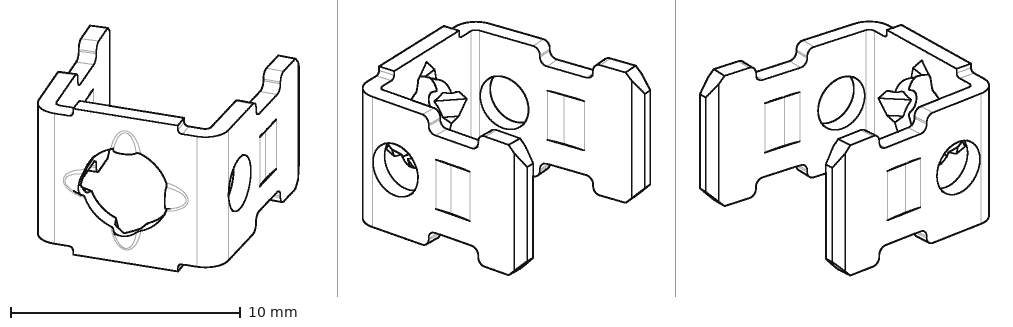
import math

import cadquery as cq

sheet = 0.81
inner_bend_radius = 0.275
outer_bend_radius = inner_bend_radius + sheet
leg_splay = 2.8
bend_angle = 90.0 - leg_splay

overall_height = 7.11
body_height = 6.35
overall_width = 9.55
tooth_height = 0.51
overall_depth = 10.03
leg_end_y = overall_depth - tooth_height

tab_width = 4.86
tab_fillet = 0.19
plate_hole_radius = 2.0

tip_taper_length = 0.57
tip_taper_inset = 0.19
tip_corner_chamfer = 0.88

notch_start = 4.17
notch_end = 6.92
notch_depth = 0.8
notch_radius = 0.36
side_hole_centre = 2.33
side_hole_radius = 1.25
pocket_start = 4.56
pocket_deepest = 5.36
pocket_end = 6.46
pocket_height = 2.4
pocket_depth = 0.06

tooth_count = 4
tooth_slope = 31.0
tooth_radius = 0.56
tooth_fillet = 0.16
tooth_start = 1.2
tooth_reach = 2.3
rod_half_length = 3.0

hollow_slope = 45.0
hollow_crest = 0.21
hollow_shoulder_half_width = 0.6
hollow_shoulder_y = 0.4
hollow_mouth_half_width = 0.7

bend_sin = math.sin(math.radians(bend_angle))
bend_cos = math.cos(math.radians(bend_angle))
splay_sin = math.sin(math.radians(leg_splay))
splay_cos = math.cos(math.radians(leg_splay))
leg_root_y = outer_bend_radius * (1 - bend_cos)
leg_length = (leg_end_y - leg_root_y - (sheet - tip_taper_inset) * splay_sin) / splay_cos
leg_root_x = overall_width / 2 - (leg_length - tip_taper_length) * splay_sin
flat_half_width = leg_root_x - outer_bend_radius * bend_sin


def bend_point(radius, angle):
    """Point on the left bend, at an angle turned from the plate's outer normal."""
    turned = math.radians(angle)
    return (
        -flat_half_width - radius * math.sin(turned),
        outer_bend_radius - radius * math.cos(turned),
    )


def make_base():
    """Plate with top and bottom tabs, and the bends at its left and right."""
    plate = cq.Workplane("XY").box(2 * flat_half_width, sheet, body_height, centered=(True, False, True))
    tabs = cq.Workplane("XY").box(tab_width, sheet, overall_height, centered=(True, False, True))
    base = plate.union(tabs)
    half_tab = tab_width / 2
    step = (overall_height - body_height) / 2
    for side in (-1, 1):
        for end in (-1, 1):
            corner = cq.selectors.BoxSelector(
                (side * half_tab - step / 2, -step, end * body_height / 2 - step / 2),
                (side * half_tab + step / 2, sheet + step, end * body_height / 2 + step / 2),
            )
            base = base.edges("|Y").edges(corner).fillet(tab_fillet)
    middle = bend_angle / 2
    bend = (
        cq.Workplane("XY")
        .moveTo(*bend_point(outer_bend_radius, 0))
        .threePointArc(bend_point(outer_bend_radius, middle), bend_point(outer_bend_radius, bend_angle))
        .lineTo(*bend_point(inner_bend_radius, bend_angle))
        .threePointArc(bend_point(inner_bend_radius, middle), bend_point(inner_bend_radius, 0))
        .close()
        .extrude(body_height / 2, both=True)
    )
    return base.union(bend).union(bend.mirror("YZ"))


def along_leg(distance):
    """Position along a leg, from its root, of a feature at a distance from Y = 0."""
    return (distance - leg_root_y) / splay_cos


def make_notch():
    """Cutter for the notch in a leg's upper edge, with rounded mouth and floor corners."""
    top = body_height / 2
    floor = top - notch_depth
    start = along_leg(notch_start)
    end = along_leg(notch_end)
    r = notch_radius
    bulge = r * (1 - math.sqrt(0.5))
    return (
        cq.Workplane("YZ")
        .moveTo(start - r, top)
        .threePointArc((start - bulge, top - bulge), (start, top - r))
        .lineTo(start, floor + r)
        .threePointArc((start + bulge, floor + bulge), (start + r, floor))
        .lineTo(end - r, floor)
        .threePointArc((end - bulge, floor + bulge), (end, floor + r))
        .lineTo(end, top - r)
        .threePointArc((end + bulge, top - bulge), (end + r, top))
        .close()
        .extrude(sheet)
    )


def make_pocket():
    """Cutter for the shallow pocket in a leg's outer face: two arcs meeting at the deepest line."""
    start = along_leg(pocket_start)
    deepest = along_leg(pocket_deepest)
    end = along_leg(pocket_end)
    arc_middle_depth = 0.75 * pocket_depth
    return (
        cq.Workplane("XY")
        .moveTo(0, start)
        .threePointArc((arc_middle_depth, (start + deepest) / 2), (pocket_depth, deepest))
        .threePointArc((arc_middle_depth, (end + deepest) / 2), (0, end))
        .close()
        .extrude(pocket_height / 2, both=True)
    )


def make_left_leg():
    """Leg made flat with its outer face on X = 0 and its root on Y = 0, then leaned into place."""
    shoulder = leg_length - tip_taper_length
    leg = (
        cq.Workplane("XY")
        .polyline([
            (0, 0),
            (0, shoulder),
            (tip_taper_inset, leg_length),
            (sheet - tip_taper_inset, leg_length),
            (sheet, shoulder),
            (sheet, 0),
        ])
        .close()
        .extrude(body_height / 2, both=True)
    )
    top = body_height / 2
    tip_corner = (
        cq.Workplane("YZ")
        .moveTo(leg_length - tip_corner_chamfer, top)
        .lineTo(leg_length, top)
        .lineTo(leg_length, top - tip_corner_chamfer)
        .close()
        .extrude(sheet)
    )
    for cutter in (tip_corner, make_notch()):
        leg = leg.cut(cutter).cut(cutter.mirror("XY"))

    hole_position = along_leg(side_hole_centre)
    side_hole = cq.Workplane("YZ").center(hole_position, 0).circle(side_hole_radius).extrude(sheet)
    pocket = make_pocket()
    inner_pocket = pocket.mirror("YZ").translate((sheet, 0, 0))
    leg = leg.cut(side_hole).cut(pocket).cut(inner_pocket)
    return leg.rotate((0, 0, 0), (0, 0, 1), leg_splay).translate((-leg_root_x, leg_root_y, 0))


def make_tooth():
    """Solid tooth on the +X side: a round rod rising along -X, trimmed to the plate and hole."""
    slope = math.radians(tooth_slope)
    direction = cq.Vector(math.cos(slope), math.sin(slope), 0)
    middle = cq.Vector(plate_hole_radius, tooth_radius / math.cos(slope) - tooth_height, 0)
    start = middle - direction * rod_half_length
    rod = cq.Workplane(cq.Solid.makeCylinder(tooth_radius, 2 * rod_half_length, start, direction))
    keep = (
        cq.Workplane("XY")
        .box(tooth_reach, 3 * sheet, 3 * tooth_radius, centered=(False, False, True))
        .translate((tooth_start, -2 * sheet, 0))
    )
    return rod.intersect(keep)


def make_hollow():
    """Cutter for the V-bottomed hollow behind a tooth, rising toward the plate hole."""
    slope = math.tan(math.radians(hollow_slope))
    rise = slope * (plate_hole_radius - tooth_start)
    mouth_spread = (hollow_mouth_half_width - hollow_shoulder_half_width) / (sheet - hollow_shoulder_y)
    clear_half_width = hollow_mouth_half_width + mouth_spread * rise
    profile = [
        (-clear_half_width, sheet + rise),
        (-hollow_shoulder_half_width, hollow_shoulder_y),
        (0, -hollow_crest),
        (hollow_shoulder_half_width, hollow_shoulder_y),
        (clear_half_width, sheet + rise),
    ]
    points = [cq.Vector(tooth_start, y - rise, z) for z, y in profile]
    end = cq.Vector(tooth_reach, slope * tooth_reach, 0)
    return cq.Workplane(cq.Solid.extrudeLinear(cq.Wire.makePolygon(points, close=True), [], end))


def add_teeth(base):
    """Raise the hollow teeth around the plate hole and pierce the hole through them."""
    tooth = make_tooth()
    hollow = make_hollow()
    turns = [360 / tooth_count * i for i in range(tooth_count)]
    for turn in turns:
        base = base.union(tooth.rotate((0, 0, 0), (0, 1, 0), turn))
    tooth_zone = tooth_start + tooth_reach
    base_edges = cq.selectors.BoxSelector(
        (-tooth_zone, -tooth_fillet / 2, -tooth_zone),
        (tooth_zone, tooth_fillet / 2, tooth_zone),
        boundingbox=True,
    )
    base = base.edges(base_edges).edges("%ELLIPSE").fillet(tooth_fillet)
    for turn in turns:
        base = base.cut(hollow.rotate((0, 0, 0), (0, 1, 0), turn))
    hole = cq.Workplane("XZ", origin=(0, 2 * sheet, 0)).circle(plate_hole_radius).extrude(4 * sheet)
    return base.cut(hole)


left_leg = make_left_leg()
result = add_teeth(make_base()).union(left_leg).union(left_leg.mirror("YZ"))